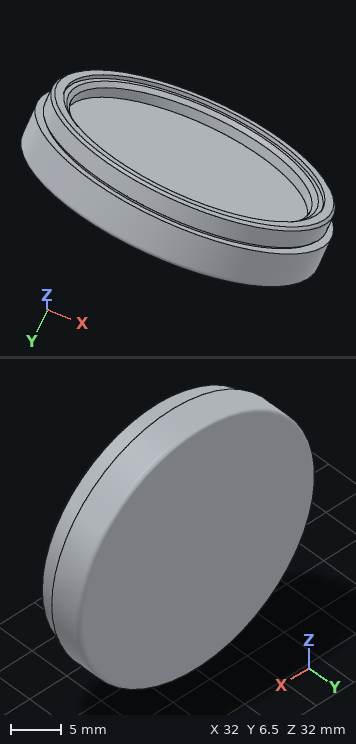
import cadquery as cq

total_depth = 6.5
flange_diameter = 32.0
flange_depth = 4.0
flange_fillet = 0.5

spigot_diameter = 30.5
spigot_chamfer = 0.305
groove_diameter = 29.95
groove_width = 0.3

counterbore_diameter = 27.97
counterbore_depth = 0.4
bore_diameter = 26.0
bore_chamfer = 0.48
floor_depth = 2.0


def disc(diameter, back, front):
    """Disc on the Y axis between two distances from the back face, toward -Y."""
    plane = cq.Workplane("XZ", origin=(0, -back, 0))
    return plane.circle(diameter / 2).extrude(front - back)


def make_body():
    spigot_back = flange_depth + groove_width
    flange = disc(flange_diameter, 0, flange_depth).faces(">Y").edges().fillet(flange_fillet)
    neck = disc(groove_diameter, flange_depth, spigot_back)
    spigot = disc(spigot_diameter, spigot_back, total_depth)
    spigot = spigot.faces("<Y").edges().chamfer(spigot_chamfer)
    return flange.union(neck).union(spigot)


def make_recess():
    """Revolve half of the recess section about the Y axis."""
    front = -total_depth
    counterbore_y = front + counterbore_depth
    bore_y = counterbore_y + bore_chamfer
    bore_radius = bore_diameter / 2
    floor_y = front + floor_depth
    section = (
        cq.Workplane("XY")
        .moveTo(0, front)
        .lineTo(counterbore_diameter / 2, front)
        .lineTo(counterbore_diameter / 2, counterbore_y)
        .lineTo(bore_radius + bore_chamfer, counterbore_y)
        .lineTo(bore_radius, bore_y)
        .lineTo(bore_radius, floor_y)
        .lineTo(0, floor_y)
        .close()
    )
    return section.revolve(360, (0, 0, 0), (0, 1, 0))


result = make_body().cut(make_recess())